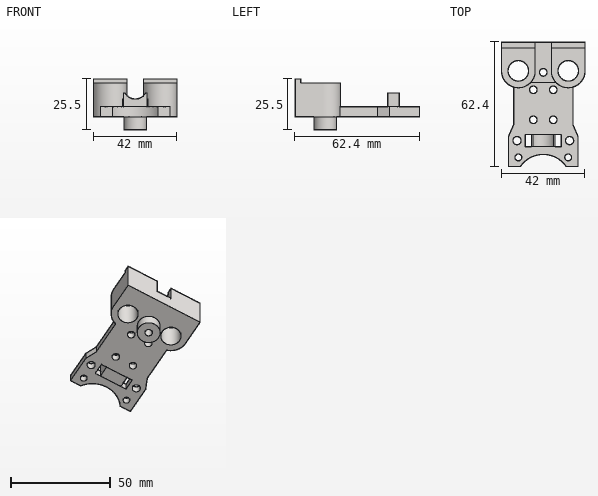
import cadquery as cq
import math

length = 62.4
overall_width = 42.0

plate_thickness = 5.05
narrow_width = 29.85
wide_width = 35.0
taper_start = 15.05
taper_end = 21.05
cutout_radius = 13.9
cutout_depth = 6.05

lobe_width = 17.0
lobe_height = 17.05
lobe_radius = lobe_width / 2
lobe_x = (overall_width - lobe_width) / 2
lobe_y = length - 14.4
bore_diameter = 10.2
lip_depth = 3.0
lip_height = 1.95

bridge_height = 9.0
bridge_length = 20.35
boss_diameter = 11.5
boss_height = 6.5
boss_y = 47.25

plate_hole_diameter = 3.7
plate_hole_x = 5.0
plate_hole_rows = (23.5, 38.5)
large_hole_diameter = 4.0
large_hole_x = 13.2
large_hole_y = 13.05
front_hole_diameter = 3.3
front_hole_x = 12.5
front_hole_y = 4.6

slot_width = 17.9
slot_depth = 6.0
slot_front = 10.05
saddle_width = 11.9
saddle_height = 12.0
saddle_groove_radius = 6.0
saddle_groove_depth = 3.0


def centred_block(width, front, depth, height):
    """Block centred on x = 0, standing on z = 0."""
    return cq.Workplane("XY").box(width, depth, height, centered=(True, False, False)).translate((0, front, 0))


def make_plate():
    """Tapered plate with a circular bite out of its front edge."""
    cutout_half = math.sqrt(cutout_radius**2 - (cutout_radius - cutout_depth) ** 2)
    return (
        cq.Workplane("XY")
        .moveTo(-cutout_half, 0)
        .threePointArc((0, cutout_depth), (cutout_half, 0))
        .lineTo(wide_width / 2, 0)
        .lineTo(wide_width / 2, taper_start)
        .lineTo(narrow_width / 2, taper_end)
        .lineTo(narrow_width / 2, length)
        .lineTo(-narrow_width / 2, length)
        .lineTo(-narrow_width / 2, taper_end)
        .lineTo(-wide_width / 2, taper_start)
        .lineTo(-wide_width / 2, 0)
        .close()
        .extrude(plate_thickness)
    )


def make_lobe(x):
    """Round-fronted lobe with a raised lip at the back."""
    straight_length = length - lobe_y
    lobe = centred_block(lobe_width, lobe_y, straight_length, lobe_height)
    nose = cq.Workplane("XY").center(0, lobe_y).circle(lobe_radius).extrude(lobe_height)
    lip = centred_block(lobe_width, length - lip_depth, lip_depth, lobe_height + lip_height)
    return lobe.union(nose).union(lip).translate((x, 0, 0))


def drill(body, points, diameter):
    """Cut vertical holes through the full height of the body."""
    holes = (
        cq.Workplane("XY")
        .workplane(offset=-boss_height)
        .pushPoints(points)
        .circle(diameter / 2)
        .extrude(boss_height + lobe_height + lip_height)
    )
    return body.cut(holes)


def make_frame():
    """Plate, lobes, bridge and boss with all holes and the saddle slot."""
    frame = make_plate()
    frame = frame.union(centred_block(2 * lobe_x, length - bridge_length, bridge_length, bridge_height))
    for side in (-1, 1):
        frame = frame.union(make_lobe(side * lobe_x))
    boss = cq.Workplane("XY").center(0, boss_y).circle(boss_diameter / 2).extrude(-boss_height)
    frame = frame.union(boss)

    plate_holes = [(side * plate_hole_x, y) for side in (-1, 1) for y in plate_hole_rows]
    frame = drill(frame, plate_holes + [(0, boss_y)], plate_hole_diameter)
    for x, y, diameter in (
        (lobe_x, lobe_y, bore_diameter),
        (large_hole_x, large_hole_y, large_hole_diameter),
        (front_hole_x, front_hole_y, front_hole_diameter),
    ):
        frame = drill(frame, [(-x, y), (x, y)], diameter)

    slot = centred_block(slot_width, slot_front, slot_depth, plate_thickness)
    return frame.cut(slot)


def make_saddle():
    """Block standing in the slot, with a round groove along y in its top."""
    block = centred_block(saddle_width, slot_front, slot_depth, saddle_height)
    groove_z = saddle_height - saddle_groove_depth + saddle_groove_radius
    groove = (
        cq.Workplane("XZ", origin=(0, slot_front, 0))
        .center(0, groove_z)
        .circle(saddle_groove_radius)
        .extrude(-slot_depth)
    )
    return block.cut(groove)


frame = make_frame()
saddle = make_saddle()
result = cq.Compound.makeCompound([frame.solids().val(), saddle.solids().val()])